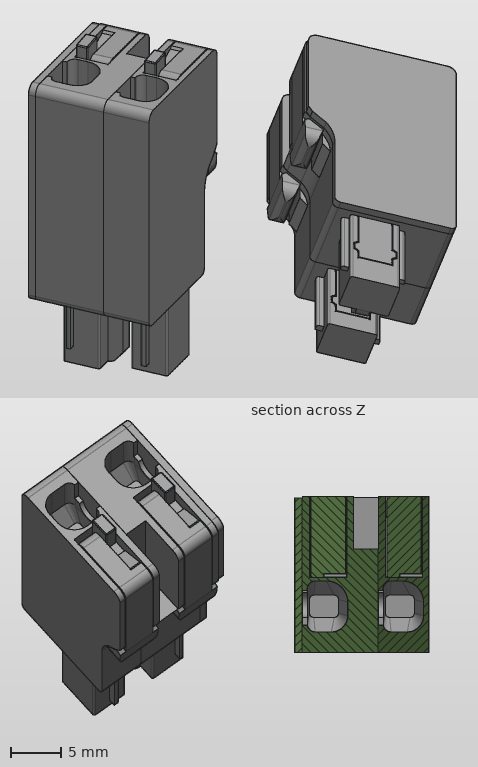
import cadquery as cq
import math


total_width = 13.3
total_depth = 15.5
total_height = 35.0
cover_width = 0.77
pole_pitch = 7.52
split_x = cover_width + pole_pitch

housing_top = 33.45
housing_bottom = 9.28
top_radius = 0.98
bottom_radius = 0.6
lower_back = 12.65
cover_setback = 0.15
overhang_end_y, overhang_end_z = 14.98, 21.9
curve_start_y, curve_start_z = 13.55, 20.72
curve_mid_y, curve_mid_z = 12.95, 19.75
overhang_corner_z = 22.55
curve_end_z = 18.3

slot_left = 1.5
slot_width = 3.65
slot_front = 7.5
slot_depth = 2.1
lever_gap = 0.1
lever_thickness = slot_depth - lever_gap
plate_front = curve_start_y
back_slot_front = curve_start_y - lever_gap
web_back_z = 19.2
lever_front = 7.8
lever_left = slot_left + lever_gap
lever_width = slot_width - 2 * lever_gap
lever_nose_radius = 1.0
tail_tip_y, tail_tip_z = 14.7, 19.0
tail_overlap = 0.7
tail_side_radius = 1.4
tail_top_z = 21.42
tail_crest_y, tail_crest_z = 15.05, 21.8
tail_inner_top_z = 20.58
tail_outer_y = 15.35
tail_inner_y = 13.85
tail_z = 19.67

button_width = 1.3
button_back = 9.75
button_slope = 0.18
button_chamfer = 0.1
button_top_slope = button_slope / (button_back - slot_front)
button_apex = total_height + button_chamfer * button_top_slope
recess_back = 13.7
recess_front = 11.13
recess_step = 0.25
ramp_bottom = 1.15
recess_floor = 1.4

notch_left = 5.85
notch_front = 10.3
notch_floor = 22.45

entry_left, entry_right = 1.25, 5.25
entry_front, entry_back = 2.05, 7.1
entry_left_radius = 0.77
entry_front_radius = 1.6
entry_back_radius = 2.1
floor_left, floor_right = 1.47, 4.35
floor_front, floor_back = 3.5, 5.7
floor_radius = 0.42
entry_straight = 4.2
entry_taper = 2.1

side_front, side_back = 2.73, 6.15
side_depth = 2.8
trough_front, trough_back = 3.5, 5.95

plug_front, plug_back = 5.45, 10.6
plug_middle = (plug_front + plug_back) / 2
plug_edge_radius = 0.2
plug_1_left, plug_1_right, plug_1_bottom = 1.22, 5.2, 0.0
plug_2_left, plug_2_right, plug_2_bottom = 8.68, 12.67, 0.98
rib_1_left, rib_1_right = 1.82, 2.35
rib_2_left, rib_2_right = 10.05, 10.68
rib_projection = 0.75
rib_bottom = 1.95
rib_radius = 0.25
key_tip = 6.9
key_thickness = 1.4
key_arc_mid_x, key_arc_mid_z = 5.65, 0.07
key_arc_end_x, key_arc_end_z = 5.95, 0.25
key_slope_top = 1.33

contact_width = 3.43
contact_bottom = 3.2
contact_thickness = 0.7
contact_gap = 0.1
ear_projection = 0.42
ear_low, ear_high = 4.1, 5.4
ear_bevel = 0.3


def box(x0, x1, y0, y1, z0, z1):
    """Box between two corners."""
    return cq.Workplane("XY").box(x1 - x0, y1 - y0, z1 - z0, centered=False).translate((x0, y0, z0))


def side_profile(x):
    """Sketch plane facing +X at the given x, with local axes Y and Z."""
    return cq.Workplane("YZ", origin=(x, 0, 0))


def housing_slice(left, right, back):
    """Slice of the housing with the overhang and the concave curve at its back."""
    body = (
        side_profile(left)
        .moveTo(0, housing_bottom)
        .lineTo(0, housing_top)
        .lineTo(back, housing_top)
        .lineTo(back, overhang_corner_z)
        .lineTo(overhang_end_y, overhang_end_z)
        .lineTo(curve_start_y, curve_start_z)
        .threePointArc((curve_mid_y, curve_mid_z), (lower_back, curve_end_z))
        .lineTo(lower_back, housing_bottom)
        .close()
        .extrude(right - left)
    )
    body = body.faces(">Z").edges("|X").fillet(top_radius)
    return body.faces("<Z").edges("|X").fillet(bottom_radius)


def slot_web():
    """Sloped web that fills the curve in front of the lever's tail."""
    return (
        side_profile(slot_left)
        .moveTo(lower_back, curve_end_z)
        .lineTo(back_slot_front, web_back_z)
        .lineTo(back_slot_front, curve_start_z)
        .lineTo(lower_back, curve_start_z)
        .close()
        .extrude(slot_width)
    )


def rounded_outline(x0, x1, y0, y1, left_radius, front_radius, back_radius, z):
    """Closed rectangle with one radius on its left corners and one on each right corner."""
    def inset(radius):
        """Distance from either side to the middle of a corner arc."""
        return radius * (1 - math.sqrt(0.5))

    left = inset(left_radius)
    front = inset(front_radius)
    back = inset(back_radius)
    return (
        cq.Workplane("XY", origin=(0, 0, z))
        .moveTo(x0 + left_radius, y0)
        .lineTo(x1 - front_radius, y0)
        .threePointArc((x1 - front, y0 + front), (x1, y0 + front_radius))
        .lineTo(x1, y1 - back_radius)
        .threePointArc((x1 - back, y1 - back), (x1 - back_radius, y1))
        .lineTo(x0 + left_radius, y1)
        .threePointArc((x0 + left, y1 - left), (x0, y1 - left_radius))
        .lineTo(x0, y0 + left_radius)
        .threePointArc((x0 + left, y0 + left), (x0 + left_radius, y0))
        .close()
    )


def wire_entry():
    """Straight wire hole that narrows to a smaller flat floor."""
    taper_top = housing_top - entry_straight
    outer_radii = (entry_left_radius, entry_front_radius, entry_back_radius)
    outer = (entry_left, entry_right, entry_front, entry_back, *outer_radii)
    inner_radii = (floor_radius, floor_radius, floor_radius)
    inner = (floor_left, floor_right, floor_front, floor_back, *inner_radii)
    straight = rounded_outline(*outer, taper_top).extrude(entry_straight)
    top_wire = rounded_outline(*outer, taper_top).val()
    floor_wire = rounded_outline(*inner, taper_top - entry_taper).val()
    funnel = cq.Workplane(cq.Solid.makeLoft([top_wire, floor_wire], True))
    return straight.union(funnel)


def side_opening():
    """Opening in the entry's left wall; its floor has a round trough running along X."""
    floor_z = housing_top - side_depth
    trough_radius = (trough_back - trough_front) / 2
    trough_middle = (trough_back + trough_front) / 2
    length = floor_left - cover_width
    opening = box(cover_width, floor_left, side_front, side_back, floor_z, housing_top)
    trough = side_profile(cover_width).center(trough_middle, floor_z).circle(trough_radius).extrude(length)
    return opening.union(trough)


def lever_slot():
    """Slot open at the top and the back that takes the L-shaped lever."""
    right = slot_left + slot_width
    top_part = box(slot_left, right, slot_front, total_depth, housing_top - slot_depth, housing_top)
    back_part = box(slot_left, right, back_slot_front, total_depth, curve_end_z, housing_top)
    return top_part.union(back_part)


def make_plug(left, right, bottom, rib_left, rib_right):
    """Plug below the housing with a guide rib on its front and back faces."""
    plug = box(left, right, plug_front, plug_back, bottom, housing_bottom)
    plug = plug.edges("|Z").fillet(plug_edge_radius)
    ribs = box(rib_left, rib_right, plug_front - rib_projection, plug_back + rib_projection,
               rib_bottom, housing_bottom)
    ribs = ribs.edges("|Z and <X").fillet(rib_radius)
    return plug.union(ribs)


def contact_outline(left, gap, thickness):
    """Contact blade with an ear on each edge, grown by a gap at its sides and bottom."""
    half = contact_width / 2 + gap
    ear = half + ear_projection
    bottom = contact_bottom - gap
    low, high = ear_low - gap, ear_high + gap
    right_side = [
        (half, bottom), (half, low), (ear, low + ear_bevel),
        (ear, high - ear_bevel), (half, high), (half, housing_bottom),
    ]
    left_side = [(-y, z) for y, z in reversed(right_side)]
    points = [(plug_middle + y, z) for y, z in right_side + left_side]
    return side_profile(left).polyline(points).close().extrude(thickness)


def key_rib():
    """Coding rib on the right side of the first plug, sloped at its lower end."""
    start_x = plug_1_right - 2 * plug_edge_radius
    return (
        cq.Workplane("XZ", origin=(0, plug_middle + key_thickness / 2, 0))
        .moveTo(start_x, housing_bottom)
        .lineTo(start_x, plug_1_bottom)
        .lineTo(plug_1_right, plug_1_bottom)
        .threePointArc((key_arc_mid_x, key_arc_mid_z), (key_arc_end_x, key_arc_end_z))
        .lineTo(key_tip, key_slope_top)
        .lineTo(key_tip, housing_bottom)
        .close()
        .extrude(key_thickness)
    )


def lever_plate():
    """L-shaped plate over the top and down the back of the housing."""
    under = housing_top - lever_thickness
    plate = (
        side_profile(lever_left)
        .moveTo(lever_front, under)
        .lineTo(lever_front, housing_top)
        .lineTo(total_depth, housing_top)
        .lineTo(total_depth, tail_top_z)
        .lineTo(plate_front, tail_inner_top_z)
        .lineTo(plate_front, under)
        .close()
        .extrude(lever_width)
    )
    plate = plate.faces(">Z").edges(">Y").fillet(top_radius)
    return plate.faces(">Z").edges("<Y").fillet(lever_nose_radius)


def lever_tail():
    """Wider grip below the overhang with a rounded tip."""
    left = lever_left - tail_overlap
    right = lever_left + lever_width + tail_overlap
    tail = (
        side_profile(left)
        .moveTo(total_depth, tail_top_z)
        .lineTo(tail_crest_y, tail_crest_z)
        .lineTo(plate_front, tail_inner_top_z)
        .lineTo(tail_inner_y, tail_z)
        .threePointArc((tail_tip_y, tail_tip_z), (tail_outer_y, tail_z))
        .close()
        .extrude(right - left)
    )
    envelope = box(left, right, plate_front, total_depth, tail_tip_z, tail_crest_z)
    return tail.intersect(envelope.edges("|Y and <Z").fillet(tail_side_radius))


def lever_recess():
    """Recess behind the button with a ramp that falls toward the front."""
    top = housing_top
    return (
        side_profile(lever_left)
        .moveTo(recess_back, top)
        .lineTo(recess_back - recess_step, top - recess_step)
        .lineTo(recess_front, top - ramp_bottom)
        .lineTo(recess_front, top - recess_floor)
        .lineTo(slot_front, top - recess_floor)
        .lineTo(slot_front, top)
        .close()
        .extrude(button_width)
    )


def push_button():
    """Button with a sloped top and chamfered edges."""
    button = (
        side_profile(lever_left)
        .moveTo(slot_front, housing_top - lever_thickness)
        .lineTo(slot_front, button_apex - button_slope)
        .lineTo(button_back, button_apex)
        .lineTo(button_back, housing_top - lever_thickness)
        .close()
        .extrude(button_width)
    )
    return button.edges("|Z").chamfer(button_chamfer).faces(">Z").chamfer(button_chamfer)


def make_lever():
    return lever_plate().cut(lever_recess()).union(push_button()).union(lever_tail())


def make_contact(plug_left):
    return contact_outline(plug_left, 0, contact_thickness)


def contact_pocket(plug_left):
    return contact_outline(plug_left, contact_gap, contact_thickness)


def pole_openings():
    """Everything cut from the first pole housing that repeats in the second."""
    return [lever_slot(), wire_entry(), side_opening()]


def make_housing_1():
    housing = housing_slice(cover_width, split_x, total_depth).union(slot_web())
    for opening in pole_openings():
        housing = housing.cut(opening)
    housing = housing.cut(box(notch_left, split_x, notch_front, total_depth, notch_floor, housing_top))
    plug = make_plug(plug_1_left, plug_1_right, plug_1_bottom, rib_1_left, rib_1_right)
    return housing.union(plug.union(key_rib()).cut(contact_pocket(plug_1_left)))


def make_housing_2():
    housing = housing_slice(split_x, total_width, total_depth)
    housing = housing.union(slot_web().translate((pole_pitch, 0, 0)))
    for opening in pole_openings():
        housing = housing.cut(opening.translate((pole_pitch, 0, 0)))
    plug = make_plug(plug_2_left, plug_2_right, plug_2_bottom, rib_2_left, rib_2_right)
    return housing.union(plug.cut(contact_pocket(plug_2_left)))


cover = housing_slice(0, cover_width, total_depth - cover_setback)
housing_1 = make_housing_1()
housing_2 = make_housing_2()
levers = [make_lever().translate((pole * pole_pitch, 0, 0)) for pole in range(2)]
contacts = [make_contact(plug_left) for plug_left in (plug_1_left, plug_2_left)]

result = cq.Compound.makeCompound(
    [
        cover.val(),
        housing_1.val(),
        housing_2.val(),
        *[lever.val() for lever in levers],
        *[contact.val() for contact in contacts],
    ]
)